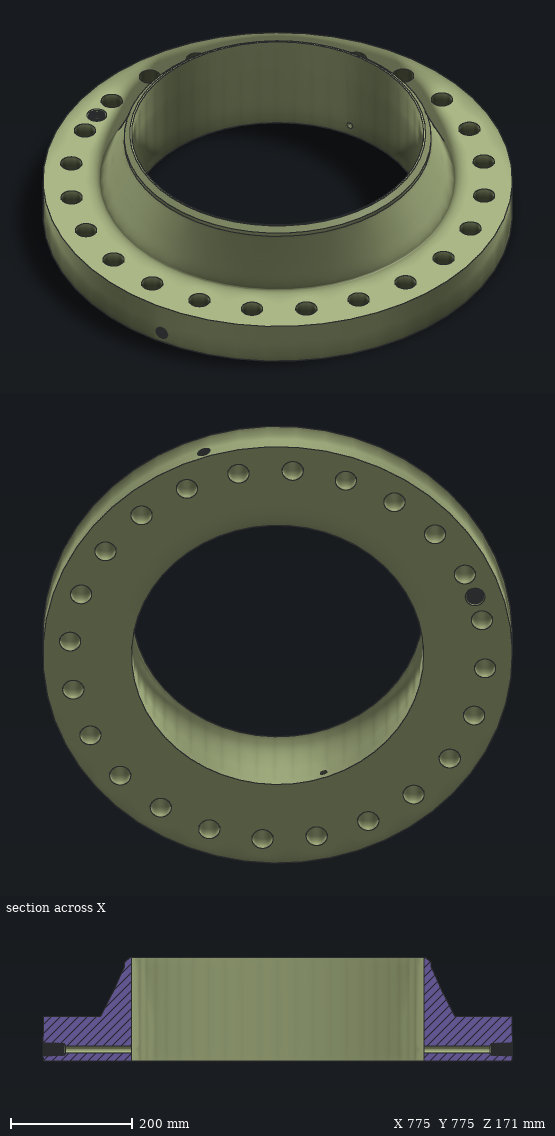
import cadquery as cq
import math

flange_diameter = 775.0
flange_thickness = 73.5
bore_diameter = 482.0
flange_radius = flange_diameter / 2
bore_radius = bore_diameter / 2

total_height = 171.0
hub_base_radius = 293.0
hub_fillet_radius = 4.0
collar_radius = 253.0
collar_bottom = 156.5
bevel_bottom = 163.5
land_radius = 244.0

bolt_count = 24
bolt_circle_radius = 343.0
bolt_hole_diameter = 35.0
bolt_pitch_angle = 360 / bolt_count

jack_major_diameter = 32.5
jack_minor_diameter = 27.0
jack_thread_turns = 25
jack_thread_pitch = flange_thickness / jack_thread_turns

tap_height = 19.0
tap_major_diameter = 22.0
tap_thread_height = 1.5
tap_thread_pitch = 2.0
tap_thread_turns = 15
tap_taper_angle = 1.8
tap_passage_diameter = 11.0

drill_point_angle = 118
flat_floor_angle = 180


def make_body():
    """Revolve the flange, hub and bore section about Z and round the hub's foot."""
    section = (
        cq.Workplane("XZ")
        .moveTo(bore_radius, 0)
        .lineTo(flange_radius, 0)
        .lineTo(flange_radius, flange_thickness)
        .lineTo(hub_base_radius, flange_thickness)
        .lineTo(collar_radius, collar_bottom)
        .lineTo(collar_radius, bevel_bottom)
        .lineTo(land_radius, total_height)
        .lineTo(bore_radius, total_height)
        .close()
    )
    body = section.revolve(360, (0, 0, 0), (0, 1, 0))
    margin = 1.0
    reach = hub_base_radius + margin
    hub_foot = cq.selectors.BoxSelector(
        (-reach, -reach, flange_thickness - margin),
        (reach, reach, flange_thickness + margin),
        boundingbox=True,
    )
    return body.edges(hub_foot).fillet(hub_fillet_radius)


def make_bolt_holes():
    """Bolt holes on the bolt circle, the first half a pitch from the X axis."""
    return (
        cq.Workplane("XY")
        .polarArray(bolt_circle_radius, bolt_pitch_angle / 2, 360, bolt_count)
        .circle(bolt_hole_diameter / 2)
        .extrude(flange_thickness)
    )


def make_threaded_hole(major_diameter, minor_diameter, pitch, turns, taper_angle, point_angle):
    """Hole along -Z from the origin, its thread simplified to a stack of V grooves.

    The radius shrinks with depth by taper_angle; the floor is a cone of point_angle.
    """
    taper = math.tan(math.radians(taper_angle))
    outline = cq.Workplane("XZ").moveTo(0, 0).lineTo(major_diameter / 2, 0)
    for turn in range(turns):
        crest_depth = (turn + 0.5) * pitch
        root_depth = (turn + 1) * pitch
        outline = outline.lineTo(minor_diameter / 2 - crest_depth * taper, -crest_depth)
        outline = outline.lineTo(major_diameter / 2 - root_depth * taper, -root_depth)
    depth = turns * pitch
    floor_radius = major_diameter / 2 - depth * taper
    point_depth = floor_radius / math.tan(math.radians(point_angle / 2))
    outline = outline.lineTo(0, -depth - point_depth).close()
    return outline.revolve(360, (0, 0, 0), (0, 1, 0))


def make_jack_hole():
    """Jacking screw hole through the flange, midway between two bolt holes."""
    hole = make_threaded_hole(
        jack_major_diameter,
        jack_minor_diameter,
        jack_thread_pitch,
        jack_thread_turns,
        taper_angle=0,
        point_angle=flat_floor_angle,
    )
    return hole.translate((-bolt_circle_radius, 0, flange_thickness))


def make_tap():
    """Pressure tap running from the -Y rim into the main bore."""
    thread = make_threaded_hole(
        tap_major_diameter,
        tap_major_diameter - 2 * tap_thread_height,
        tap_thread_pitch,
        tap_thread_turns,
        tap_taper_angle,
        drill_point_angle,
    )
    passage = cq.Workplane("XY").circle(tap_passage_diameter / 2).extrude(-flange_radius)
    tap = thread.union(passage).rotate((0, 0, 0), (1, 0, 0), 90)
    return tap.translate((0, -flange_radius, tap_height))


result = make_body().cut(make_bolt_holes()).cut(make_jack_hole())
for angle in (0, 180):
    result = result.cut(make_tap().rotate((0, 0, 0), (0, 0, 1), angle))